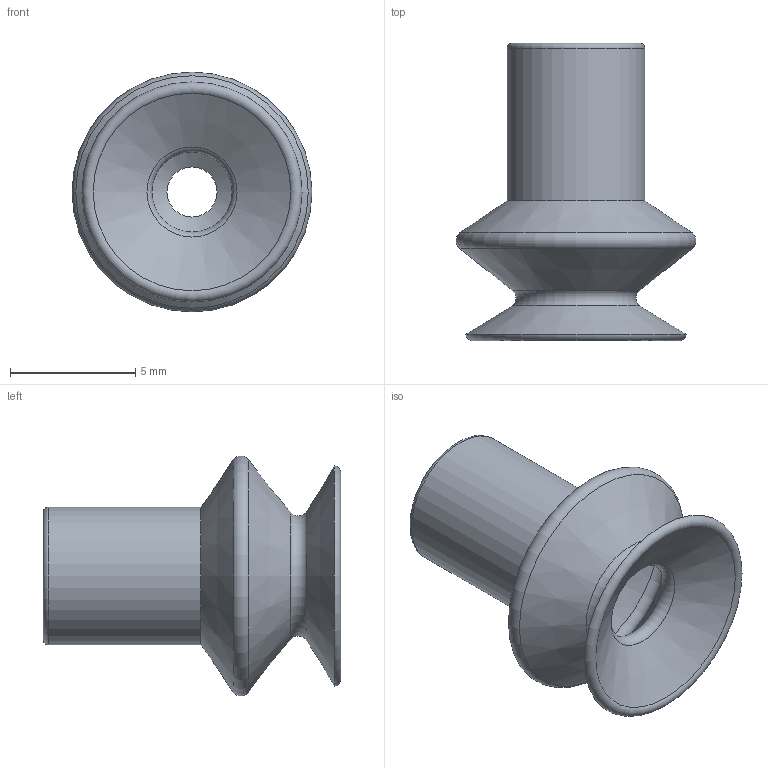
import cadquery as cq


total_length = 11.9
neck_radius = 2.75
neck_start = 5.6
neck_edge_round = 0.2
bore_radius = 1.0

round_half_length = 0.31
round_depth = 0.15
ridge_radius = 4.8
ridge_position = 4.0
groove_radius = 2.4
groove_position = 1.7

lip_radius = 4.4
lip_round = 0.26
lip_inner_radius = 3.95
lip_center_radius = lip_radius - lip_round
lip_inner_position = lip_round - (lip_round**2 - (lip_center_radius - lip_inner_radius) ** 2) ** 0.5

throat_radius = 1.6
throat_half_length = 0.34
throat_depth = 0.2
cavity_radius = 4.0
cavity_half_length = 0.3
cavity_depth = 0.16
bore_start = 6.0


def rounded_crest(profile, radius, position, half_length, edge_radius):
    """Draw to a crest and around it; half_length is signed with the direction along the axis."""
    return profile.lineTo(edge_radius, position - half_length).threePointArc(
        (radius, position), (edge_radius, position + half_length)
    )


def inner_profile(profile):
    """From the lip inwards through the throat and the cavity, then along the bore to the neck end."""
    profile = rounded_crest(
        profile, throat_radius, groove_position, throat_half_length, throat_radius + throat_depth
    )
    profile = rounded_crest(
        profile, cavity_radius, ridge_position, cavity_half_length, cavity_radius - cavity_depth
    )
    return profile.lineTo(bore_radius, bore_start).lineTo(bore_radius, total_length)


def outer_profile(profile):
    """From the neck end back over the ridge and the groove to the outer edge of the lip."""
    profile = (
        profile.lineTo(neck_radius - neck_edge_round, total_length)
        .radiusArc((neck_radius, total_length - neck_edge_round), neck_edge_round)
        .lineTo(neck_radius, neck_start)
    )
    profile = rounded_crest(
        profile, ridge_radius, ridge_position, -round_half_length, ridge_radius - round_depth
    )
    profile = rounded_crest(
        profile, groove_radius, groove_position, -round_half_length, groove_radius + round_depth
    )
    return profile.lineTo(lip_radius, lip_round)


section = cq.Workplane("XY").moveTo(lip_inner_radius, lip_inner_position)
section = outer_profile(inner_profile(section))
section = section.threePointArc(
    (lip_center_radius, 0), (lip_inner_radius, lip_inner_position)
).close()

result = section.revolve(360, (0, 0, 0), (0, 1, 0))